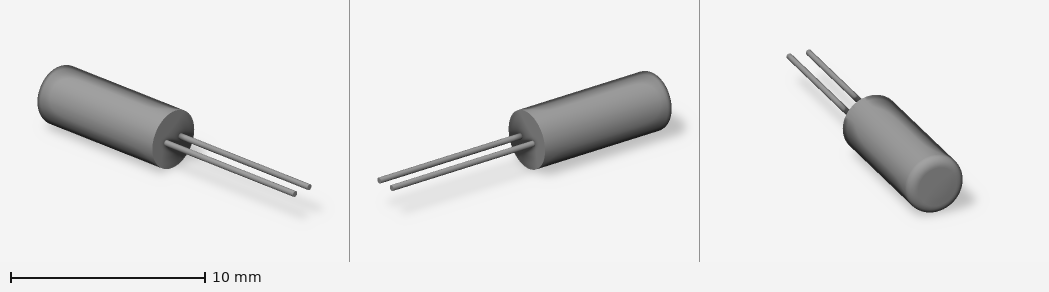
import cadquery as cq

can_diameter = 3.2
can_length = 8.3
can_edge_radius = 0.5

lead_diameter = 0.32
lead_length = 9.0
lead_pitch = 1.1


def make_can():
    """Solid can from X = 0 to its lead end, rounded at the closed end."""
    can = cq.Workplane("YZ").circle(can_diameter / 2).extrude(can_length)
    return can.faces("<X").edges().fillet(can_edge_radius)


def make_leads():
    """Pair of straight round wires, placed symmetrically about the can axis."""
    return (
        cq.Workplane("YZ", origin=(can_length, 0, 0))
        .pushPoints([(-lead_pitch / 2, 0), (lead_pitch / 2, 0)])
        .circle(lead_diameter / 2)
        .extrude(lead_length)
    )


result = make_can().union(make_leads())